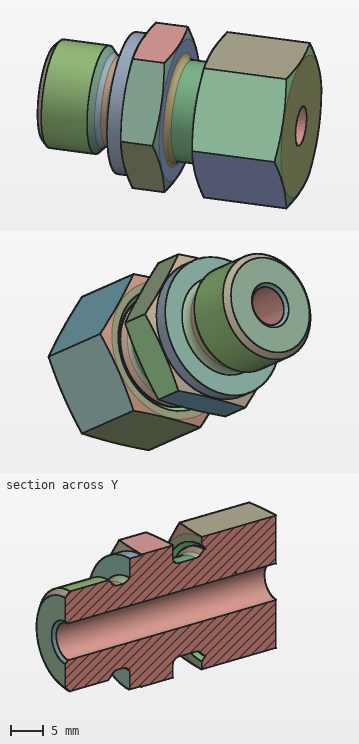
import cadquery as cq
import math

thread_end = 8.1
collar_start = 12.0
body_hex_start = 14.22
body_hex_end = 20.22
nut_start = 25.5
total_length = 39.5

bore_radius = 6.0 / 2
groove_radius = 14.05 / 2
neck_radius = 15.6 / 2
thread_radius = 16.65 / 2
collar_radius = 21.8 / 2
across_flats = 22.0
corner_radius = across_flats / math.sqrt(3)

bore_chamfer = 0.5
thread_chamfer = 0.85
hex_chamfer_angle = math.radians(15)
hex_face_radius = collar_radius

undercut_cone_length = 0.85
undercut_entry_rise = 0.35
undercut_floor_start = 9.85
undercut_floor_end = 10.75
undercut_exit_rise = 0.67

neck_fillet = 1.0
neck_flare_radius = 1.1
neck_flare_end = 25.28

nut_thread_radius = 8.85
nut_mouth_radius = 9.65


def point_on_arc(center_x, center_r, radius, angle_degrees):
    """Point on a circle, in the axial-radial plane."""
    angle = math.radians(angle_degrees)
    return center_x + radius * math.cos(angle), center_r + radius * math.sin(angle)


def turned_body():
    """Thread, undercut, collar, neck and nut thread, revolved about the X axis."""
    flare_center = (
        neck_flare_end - neck_flare_radius * math.sin(math.pi / 4),
        neck_radius + neck_flare_radius,
    )
    flare_end = point_on_arc(*flare_center, neck_flare_radius, -45)
    nut_thread_start = neck_flare_end + nut_thread_radius - flare_end[1]
    neck_center = (body_hex_end + neck_fillet, neck_radius + neck_fillet)
    profile = (
        cq.Workplane("XY")
        .moveTo(0, 0)
        .lineTo(0, thread_radius - thread_chamfer)
        .lineTo(thread_chamfer, thread_radius)
        .lineTo(thread_end, thread_radius)
        .lineTo(thread_end + undercut_cone_length, groove_radius + undercut_entry_rise)
        .tangentArcPoint((undercut_floor_start, groove_radius), relative=False)
        .lineTo(undercut_floor_end, groove_radius)
        .tangentArcPoint((collar_start, groove_radius + undercut_exit_rise), relative=False)
        .lineTo(collar_start, collar_radius)
        .lineTo(body_hex_end, collar_radius)
        .lineTo(body_hex_end, neck_center[1])
        .threePointArc(point_on_arc(*neck_center, neck_fillet, 225), (neck_center[0], neck_radius))
        .lineTo(flare_center[0], neck_radius)
        .threePointArc(point_on_arc(*flare_center, neck_flare_radius, -67.5), flare_end)
        .lineTo(nut_thread_start, nut_thread_radius)
        .lineTo(total_length, nut_thread_radius)
        .lineTo(total_length, 0)
        .close()
    )
    return profile.revolve(360, (0, 0, 0), (1, 0, 0))


def chamfered_hexagon(start, end):
    """Hexagonal prism along X, corners along Y, both ends turned to a shallow cone."""
    prism = (
        cq.Workplane("YZ")
        .workplane(offset=start)
        .polygon(6, 2 * corner_radius)
        .extrude(end - start)
    )
    chamfer_length = (corner_radius - hex_face_radius) * math.tan(hex_chamfer_angle)
    envelope = (
        cq.Workplane("XY")
        .moveTo(start, 0)
        .lineTo(start, hex_face_radius)
        .lineTo(start + chamfer_length, corner_radius)
        .lineTo(end - chamfer_length, corner_radius)
        .lineTo(end, hex_face_radius)
        .lineTo(end, 0)
        .close()
        .revolve(360, (0, 0, 0), (1, 0, 0))
    )
    return prism.intersect(envelope)


def nut():
    """Hexagon nut whose mouth is countersunk at 45 degrees down to the nut thread."""
    countersink = (
        cq.Workplane("XY")
        .moveTo(nut_start, 0)
        .lineTo(nut_start, nut_mouth_radius)
        .lineTo(nut_start + nut_mouth_radius - nut_thread_radius, nut_thread_radius)
        .lineTo(nut_start + nut_mouth_radius - nut_thread_radius, 0)
        .close()
        .revolve(360, (0, 0, 0), (1, 0, 0))
    )
    return chamfered_hexagon(nut_start, total_length).cut(countersink)


def chamfered_bore():
    """Through bore with a 45 degree chamfer at the threaded end."""
    return (
        cq.Workplane("XY")
        .moveTo(0, 0)
        .lineTo(0, bore_radius + bore_chamfer)
        .lineTo(bore_chamfer, bore_radius)
        .lineTo(total_length, bore_radius)
        .lineTo(total_length, 0)
        .close()
        .revolve(360, (0, 0, 0), (1, 0, 0))
    )


result = (
    turned_body()
    .union(chamfered_hexagon(body_hex_start, body_hex_end))
    .union(nut())
    .cut(chamfered_bore())
)